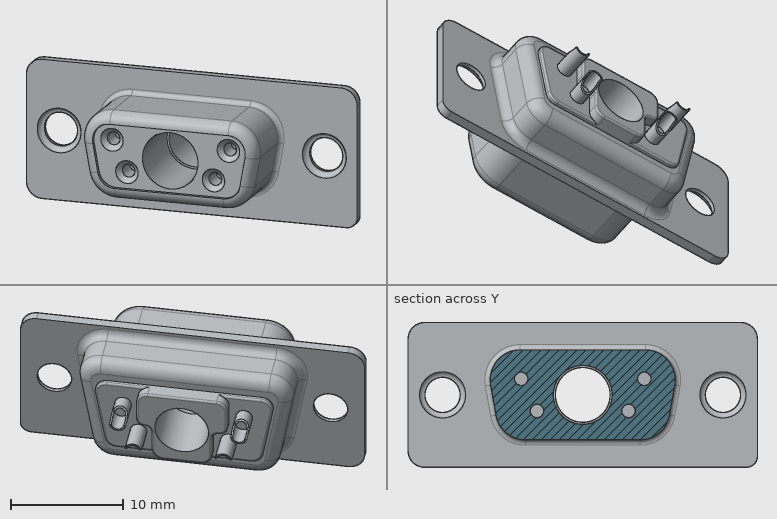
import cadquery as cq
import math

SIDE_LEAN = math.radians(10)

PLATE_WIDTH = 31.2
PLATE_HEIGHT = 12.95
PLATE_BACK = 0.87
PLATE_CORNER_RADIUS = 1.5
SMALL_CORNER_RADIUS = 1.0
MOUNT_HOLE_X = 12.5
MOUNT_HOLE_RADIUS = 1.55
MOUNT_HOLE_ROUNDING = 0.5

FRONT_DEPTH = 6.27
FRONT_HALF_HEIGHT = 4.02
FRONT_CORNER_RADIUS = 2.68
FRONT_TOP_CORNER_X = 5.58
FRONT_EDGE_ROUNDING = 1.1
FRONT_ROOT_FILLET = 0.47
LIP_WIDTH = 1.05
FACE_RECESS = 0.37

REAR_BACK = 4.9
REAR_HALF_HEIGHT = 5.4
REAR_CORNER_RADIUS = 2.03
REAR_TOP_CORNER_X = 7.65
REAR_EDGE_ROUNDING = 1.2
REAR_ROOT_FILLET = 0.78

PAD_BACK = 5.33
PAD_HALF_HEIGHT = 3.55
PAD_CORNER_RADIUS = 1.05
PAD_TOP_CORNER_X = 7.0
BLOCK_BACK = 6.33
BLOCK_TOP_HALF_WIDTH = 4.12
BLOCK_BOTTOM_HALF_WIDTH = 2.7
BLOCK_CORNER_RADIUS = 1.0
INSERT_EDGE_ROUNDING = 0.2

BORE_RADIUS = 2.62
BORE_REAR_RADIUS = 2.43

CONTACT_POSITIONS = [(5.5, 1.45), (4.1, -1.45)]
SOCKET_RADIUS = 0.6
SOCKET_MOUTH_RADIUS = 1.05
SOCKET_DEPTH = 2.5
PIN_BACK = 8.23
PIN_RADIUS = 0.75
CUP_RADIUS = 0.6
CUP_DEPTH = 1.87
SCOOP_LENGTH = 1.65
SCOOP_PAST_AXIS = 0.15

OVERLAP = 0.15


def plane_at(y):
    """Sketch plane parallel to XZ whose extrusions run toward +Y: local (x, y) is (X, -Z)."""
    return cq.Workplane(cq.Plane((0, y, 0), (1, 0, 0), (0, 1, 0)))


def d_prism(y_start, y_end, half_height, corner_radius, top_corner_x, grow=0):
    """D-shaped prism; grow offsets the whole outline outward (inward when negative)."""
    corner_z = half_height - corner_radius
    bottom_corner_x = top_corner_x - 2 * corner_z * math.tan(SIDE_LEAN)
    corner_centres = [
        (-top_corner_x, -corner_z),
        (top_corner_x, -corner_z),
        (bottom_corner_x, corner_z),
        (-bottom_corner_x, corner_z),
    ]
    outline = plane_at(y_start).polyline(corner_centres).close().offset2D(corner_radius + grow)
    return outline.extrude(y_end - y_start)


def rod(x, z, radius, y_start, y_end):
    return plane_at(y_start).center(x, -z).circle(radius).extrude(y_end - y_start)


def make_plate():
    plate = plane_at(0).rect(PLATE_WIDTH, PLATE_HEIGHT).extrude(PLATE_BACK)
    small_corner = "(>X and <Z)"
    plate = plate.edges(f"|Y and (not {small_corner})").fillet(PLATE_CORNER_RADIUS)
    return plate.edges(f"|Y and {small_corner}").fillet(SMALL_CORNER_RADIUS)


def root_edges(y):
    """Selects the edges lying at y inside the plate's outline, where a shell meets the plate."""
    half_x = PLATE_WIDTH / 2 - PLATE_CORNER_RADIUS
    half_z = (PLATE_HEIGHT / 2 + REAR_HALF_HEIGHT) / 2
    return cq.selectors.BoxSelector((-half_x, y - OVERLAP, -half_z), (half_x, y + OVERLAP, half_z))


def make_shells():
    """Plate with both shells, rounded at their ends and blended into the plate."""
    front = d_prism(-FRONT_DEPTH, 0, FRONT_HALF_HEIGHT, FRONT_CORNER_RADIUS, FRONT_TOP_CORNER_X)
    front = front.faces("<Y").edges().fillet(FRONT_EDGE_ROUNDING)
    rear = d_prism(PLATE_BACK, REAR_BACK, REAR_HALF_HEIGHT, REAR_CORNER_RADIUS, REAR_TOP_CORNER_X)
    rear = rear.faces(">Y").edges().fillet(REAR_EDGE_ROUNDING)

    body = make_plate().union(front).union(rear)
    body = body.edges(root_edges(0)).fillet(FRONT_ROOT_FILLET)
    return body.edges(root_edges(PLATE_BACK)).fillet(REAR_ROOT_FILLET)


def make_face_recess():
    """Shallow opening that leaves the front shell's rounded lip standing proud of the insert."""
    return d_prism(
        -FRONT_DEPTH,
        FACE_RECESS - FRONT_DEPTH,
        FRONT_HALF_HEIGHT,
        FRONT_CORNER_RADIUS,
        FRONT_TOP_CORNER_X,
        grow=-LIP_WIDTH,
    )


def make_pad():
    pad = d_prism(
        REAR_BACK - OVERLAP, PAD_BACK, PAD_HALF_HEIGHT, PAD_CORNER_RADIUS, PAD_TOP_CORNER_X
    )
    return pad.faces(">Y").edges().fillet(INSERT_EDGE_ROUNDING)


def make_block():
    """Block, wide above mid-height and narrow below, with an S-curve at each step."""
    step = BLOCK_TOP_HALF_WIDTH - BLOCK_BOTTOM_HALF_WIDTH
    step_radius = step / 2
    block = (
        plane_at(REAR_BACK - OVERLAP)
        .moveTo(-BLOCK_TOP_HALF_WIDTH, -PAD_HALF_HEIGHT)
        .hLine(2 * BLOCK_TOP_HALF_WIDTH)
        .vLine(PAD_HALF_HEIGHT - step_radius)
        .radiusArc((BLOCK_TOP_HALF_WIDTH - step_radius, 0), -step_radius)
        .radiusArc((BLOCK_BOTTOM_HALF_WIDTH, step_radius), step_radius)
        .lineTo(BLOCK_BOTTOM_HALF_WIDTH, PAD_HALF_HEIGHT)
        .hLine(-2 * BLOCK_BOTTOM_HALF_WIDTH)
        .lineTo(-BLOCK_BOTTOM_HALF_WIDTH, step_radius)
        .radiusArc((step_radius - BLOCK_TOP_HALF_WIDTH, 0), step_radius)
        .radiusArc((-BLOCK_TOP_HALF_WIDTH, -step_radius), -step_radius)
        .close()
        .extrude(BLOCK_BACK - REAR_BACK + OVERLAP)
    )
    outer_corners = block.edges("|Y").edges("<Z or >Z")
    block = outer_corners.fillet(BLOCK_CORNER_RADIUS)
    return block.faces(">Y").edges().fillet(INSERT_EDGE_ROUNDING)


def make_mount_hole(x):
    """Clearance hole with a rounded mouth on the plate's front face."""
    mouth_radius = MOUNT_HOLE_RADIUS + MOUNT_HOLE_ROUNDING
    profile = (
        cq.Workplane("XY")
        .lineTo(mouth_radius, 0)
        .radiusArc((MOUNT_HOLE_RADIUS, MOUNT_HOLE_ROUNDING), -MOUNT_HOLE_ROUNDING)
        .lineTo(MOUNT_HOLE_RADIUS, PLATE_BACK)
        .lineTo(0, PLATE_BACK)
        .close()
    )
    return profile.revolve(360, (0, 0), (0, 1)).translate((x, 0, 0))


def make_bore():
    front = rod(0, 0, BORE_RADIUS, -FRONT_DEPTH, PLATE_BACK)
    return front.union(rod(0, 0, BORE_REAR_RADIUS, PLATE_BACK, BLOCK_BACK))


def make_socket(x, z):
    """Blind contact hole in the insert face with a 45-degree lead-in."""
    lead_in = SOCKET_MOUTH_RADIUS - SOCKET_RADIUS
    profile = (
        cq.Workplane("XY")
        .lineTo(SOCKET_MOUTH_RADIUS, 0)
        .lineTo(SOCKET_RADIUS, lead_in)
        .lineTo(SOCKET_RADIUS, SOCKET_DEPTH)
        .lineTo(0, SOCKET_DEPTH)
        .close()
    )
    socket = profile.revolve(360, (0, 0), (0, 1))
    return socket.translate((x, FACE_RECESS - FRONT_DEPTH, z))


def make_solder_cup(x, z):
    """Hollow pin end with its outer side scooped away to open the cup."""
    pin = rod(x, z, PIN_RADIUS, REAR_BACK, PIN_BACK)
    pin = pin.cut(rod(x, z, CUP_RADIUS, PIN_BACK - CUP_DEPTH, PIN_BACK))

    outward = math.copysign(1, z)
    scoop_depth = PIN_RADIUS + SCOOP_PAST_AXIS
    scoop_radius = (SCOOP_LENGTH**2 + scoop_depth**2) / (2 * scoop_depth)
    scoop = (
        cq.Workplane("YZ")
        .center(PIN_BACK, z + outward * (scoop_radius - SCOOP_PAST_AXIS))
        .circle(scoop_radius)
        .extrude(PIN_RADIUS, both=True)
        .translate((x, 0, 0))
    )
    return pin.cut(scoop)


result = make_shells().cut(make_face_recess())
result = result.union(make_pad()).union(make_block()).cut(make_bore())

for side in (-1, 1):
    result = result.cut(make_mount_hole(side * MOUNT_HOLE_X))
    for contact_x, contact_z in CONTACT_POSITIONS:
        result = result.cut(make_socket(side * contact_x, contact_z))
        result = result.union(make_solder_cup(side * contact_x, contact_z))